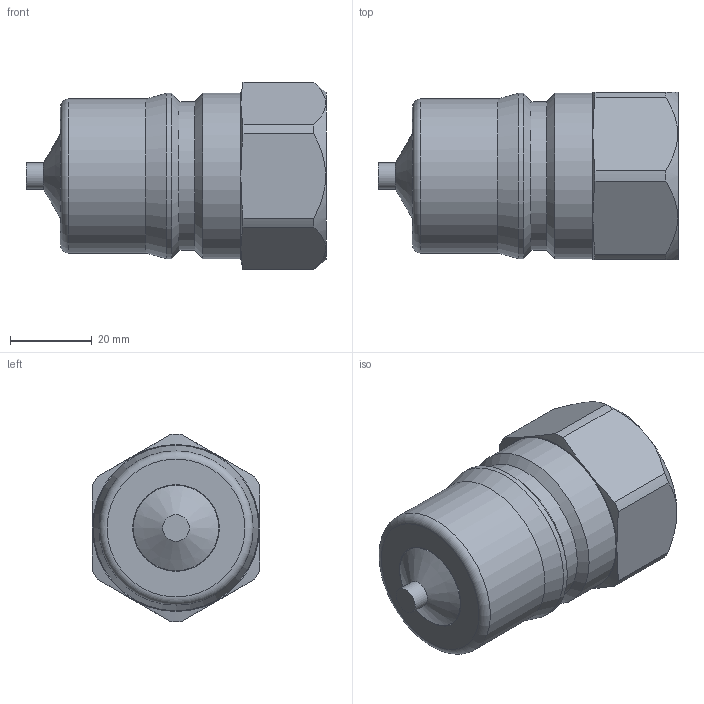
import cadquery as cq
import math

pin_length = 4.28
cylinder_end = 29.35
ramp_end = 34.4
groove_start = 35.7
groove_floor_start = 37.45
groove_floor_end = 41.27
groove_end = 43.25
hex_start = 52.6
rear_chamfer_start = 70.5
total_length = 73.46

pin_diameter = 6.5
cone_diameter = 20.9
mouth_diameter = 21.2
plug_diameter = 37.75
groove_diameter = 36.3
collar_diameter = 40.5
hex_corner_diameter = 45.94
bearing_face_diameter = 40.9
rear_face_diameter = 40.9

cone_half_angle = math.radians(60)
nose_fillet = 2.0
mouth_gap_depth = 1.0
hex_sides = 6
hex_across_flats = 41.0
hex_front_angle = math.radians(12)

cone_length = (cone_diameter - pin_diameter) / 2 / math.tan(cone_half_angle)
plug_face = pin_length + cone_length


def revolve_profile(profile):
    """Close an (axial, radial) profile and turn it about the X axis."""
    return profile.close().revolve(360, (0, 0, 0), (1, 0, 0))


def make_valve_tip():
    """Pin and cone, with a short round base standing in the plug mouth."""
    base_end = plug_face + mouth_gap_depth
    profile = (
        cq.Workplane("XY")
        .lineTo(0, pin_diameter / 2)
        .lineTo(pin_length, pin_diameter / 2)
        .lineTo(plug_face, cone_diameter / 2)
        .lineTo(base_end, cone_diameter / 2)
        .lineTo(base_end, 0)
    )
    return revolve_profile(profile)


def make_plug():
    """Turned body: open mouth, rounded nose, ramp, locking groove and collar."""
    mouth_floor = plug_face + mouth_gap_depth
    plug_radius = plug_diameter / 2
    collar_radius = collar_diameter / 2
    groove_radius = groove_diameter / 2
    fillet_offset = nose_fillet * (1 - math.sqrt(0.5))
    profile = (
        cq.Workplane("XY")
        .moveTo(mouth_floor, 0)
        .lineTo(mouth_floor, mouth_diameter / 2)
        .lineTo(plug_face, mouth_diameter / 2)
        .lineTo(plug_face, plug_radius - nose_fillet)
        .threePointArc(
            (plug_face + fillet_offset, plug_radius - fillet_offset),
            (plug_face + nose_fillet, plug_radius),
        )
        .lineTo(cylinder_end, plug_radius)
        .lineTo(ramp_end, collar_radius)
        .lineTo(groove_start, collar_radius)
        .lineTo(groove_floor_start, groove_radius)
        .lineTo(groove_floor_end, groove_radius)
        .lineTo(groove_end, collar_radius)
        .lineTo(total_length, collar_radius)
        .lineTo(total_length, 0)
    )
    return revolve_profile(profile)


def make_hex():
    """Wrench hexagon with flats on +Y and -Y, corners and ends turned round."""
    sharp_corner_diameter = hex_across_flats / math.cos(math.pi / hex_sides)
    prism = (
        cq.Workplane("YZ", origin=(hex_start, 0, 0))
        .transformed(rotate=(0, 0, 90))
        .polygon(hex_sides, sharp_corner_diameter)
        .extrude(total_length - hex_start)
    )
    corner_radius = hex_corner_diameter / 2
    bearing_radius = bearing_face_diameter / 2
    front_chamfer = (corner_radius - bearing_radius) * math.tan(hex_front_angle)
    profile = (
        cq.Workplane("XY")
        .moveTo(hex_start, 0)
        .lineTo(hex_start, bearing_radius)
        .lineTo(hex_start + front_chamfer, corner_radius)
        .lineTo(rear_chamfer_start, corner_radius)
        .lineTo(total_length, rear_face_diameter / 2)
        .lineTo(total_length, 0)
    )
    return prism.intersect(revolve_profile(profile))


result = make_plug().union(make_valve_tip()).union(make_hex())